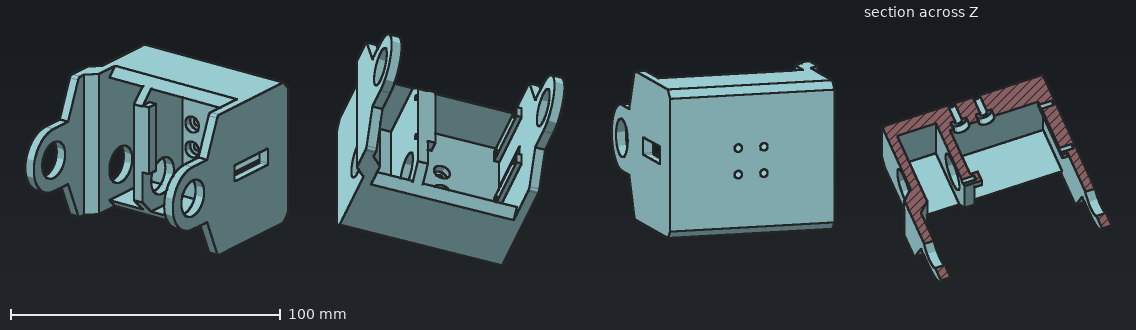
import cadquery as cq


width = 68.0
height = 56.1
length = 72.2
half_height = height / 2

side_wall = 4.0
roof_wall = 3.55
left_back_wall = 6.0
main_back_wall = 10.7
back_chamfer = 3.0

lug_radius = 12.5
lug_bore_diameter = 14.2
lug_neck_y = 8.95
shoulder_y = 15.7
shoulder_fillet = 1.5
jog_outer_y = 30.2
jog_inner_y = 22.9

roof_front_y = 32.9
partition_front_y = 24.05
partition_left_x = 23.2
partition_thickness = 4.0

block_thickness = 2.95
block_depth = 4.4
block_height = 26.7
block_center_z = 6.2

rail_thickness = 2.0
rail_height = 4.6
rail_center_zs = (-4.3, 20.1)

pilot_diameter = 1.8
pilot_depth = 5.0
pilot_spacing = 20.5
pilot_setback = 2.25

cable_diameter = 14.2
cable_y = 36.5
cable_z = -12.5

window_length = 20.8
window_height = 6.5
window_front_y = 26.2
window_bottom_z = -1.7
window_corner = 0.5

mount_spacing = 9.95
mount_diameter = 2.8
mount_head_diameter = 6.2
mount_head_depth = 3.0
mount_center_x = 36.5

front_y = -lug_radius
back_y = length - lug_radius
box_left_x = side_wall
cavity_left_x = box_left_x + side_wall
cavity_right_x = width - side_wall
partition_right_x = partition_left_x + partition_thickness
left_back_y = back_y - left_back_wall
main_back_y = back_y - main_back_wall
pilot_front_y = partition_front_y + pilot_setback


def box_between(x_range, y_range, z_range):
    """Axis-aligned box spanning the given ranges."""
    low, high = zip(x_range, y_range, z_range)
    sizes = [b - a for a, b in zip(low, high)]
    return cq.Workplane("XY").box(*sizes, centered=False).translate(low)


def x_cylinder(diameter, x_range, y, z):
    """Cylinder along X."""
    x_start, x_end = x_range
    circle = cq.Workplane("YZ", origin=(x_start, y, z)).circle(diameter / 2)
    return circle.extrude(x_end - x_start)


def side_profile():
    """Side outline of box and lugs with the lug bore, across the full width."""
    profile = (
        cq.Workplane("YZ")
        .moveTo(back_y, half_height)
        .lineTo(shoulder_y, half_height)
        .lineTo(lug_neck_y, lug_radius)
        .lineTo(0, lug_radius)
        .threePointArc((front_y, 0), (0, -lug_radius))
        .lineTo(lug_neck_y, -lug_radius)
        .lineTo(shoulder_y, -half_height)
        .lineTo(back_y, -half_height)
        .close()
        .extrude(width)
    )
    for z in (-half_height, half_height):
        shoulder = cq.selectors.NearestToPointSelector((width / 2, shoulder_y, z))
        profile = profile.edges(shoulder).fillet(shoulder_fillet)
    profile = profile.edges("|X and >Y").chamfer(back_chamfer)
    return profile.cut(x_cylinder(lug_bore_diameter, (0, width), 0, 0))


def plan_profile():
    """U-shaped plan outline; the left arm jogs outward at 45 degrees."""
    outline = [
        (box_left_x, back_y),
        (width, back_y),
        (width, front_y),
        (cavity_right_x, front_y),
        (cavity_right_x, partition_front_y),
        (cavity_left_x, partition_front_y),
        (cavity_left_x, jog_inner_y),
        (side_wall, jog_inner_y - (cavity_left_x - side_wall)),
        (side_wall, front_y),
        (0, front_y),
        (0, jog_outer_y - box_left_x),
        (box_left_x, jog_outer_y),
    ]
    plan = cq.Workplane("XY", origin=(0, 0, -half_height)).polyline(outline).close()
    return plan.extrude(height)


def mouth_bevel():
    """Upper 45 degree wedge that bevels the roof and the partition."""
    run = roof_front_y - partition_front_y
    wedge = (
        cq.Workplane("YZ", origin=(cavity_left_x, 0, 0))
        .moveTo(roof_front_y, half_height)
        .lineTo(partition_front_y, half_height)
        .lineTo(partition_front_y, half_height - run)
        .close()
    )
    return wedge.extrude(cavity_right_x - cavity_left_x)


def compartments():
    """Spaces left and right of the partition, open to the front."""
    z_range = (-half_height + roof_wall, half_height - roof_wall)
    left = box_between((cavity_left_x, partition_left_x), (partition_front_y, left_back_y), z_range)
    main = box_between((partition_right_x, cavity_right_x), (partition_front_y, main_back_y), z_range)
    return left.union(main)


def screw_block():
    """Block that thickens the front edge of the partition."""
    return box_between(
        (partition_right_x, partition_right_x + block_thickness),
        (partition_front_y, partition_front_y + block_depth),
        (block_center_z - block_height / 2, block_center_z + block_height / 2),
    )


def rail(center_z):
    """Rail along the right wall, reaching the back wall."""
    return box_between(
        (cavity_right_x - rail_thickness, cavity_right_x),
        (partition_front_y, main_back_y),
        (center_z - rail_height / 2, center_z + rail_height / 2),
    )


def pilot_hole(x, y, z):
    """Blind hole entering a face at x toward +X."""
    return x_cylinder(pilot_diameter, (x, x + pilot_depth), y, z)


def window():
    """Rounded window through the right wall."""
    opening = box_between(
        (cavity_right_x, width),
        (window_front_y, window_front_y + window_length),
        (window_bottom_z, window_bottom_z + window_height),
    )
    return opening.edges("|X").fillet(window_corner)


def mount_holes():
    """Square pattern of holes through the back wall, counterbored from inside."""
    pattern = (
        cq.Workplane("XZ", origin=(mount_center_x, main_back_y, 0))
        .rarray(mount_spacing, mount_spacing, 2, 2)
    )
    shafts = pattern.circle(mount_diameter / 2).extrude(-main_back_wall)
    heads = pattern.circle(mount_head_diameter / 2).extrude(-mount_head_depth)
    return shafts.union(heads)


bevel = mouth_bevel()
result = side_profile().intersect(plan_profile())
result = result.cut(bevel).cut(bevel.mirror("XY")).cut(compartments())

result = result.union(screw_block())
for rail_z in rail_center_zs:
    result = result.union(rail(rail_z))

for end in (-1, 1):
    pilot_z = block_center_z + end * pilot_spacing / 2
    result = result.cut(pilot_hole(partition_left_x, pilot_front_y, pilot_z))
for rail_z in rail_center_zs:
    for pilot_y in (pilot_front_y, pilot_front_y + pilot_spacing):
        result = result.cut(pilot_hole(cavity_right_x - rail_thickness, pilot_y, rail_z))

result = result.cut(x_cylinder(cable_diameter, (0, partition_right_x), cable_y, cable_z))
result = result.cut(window()).cut(mount_holes())